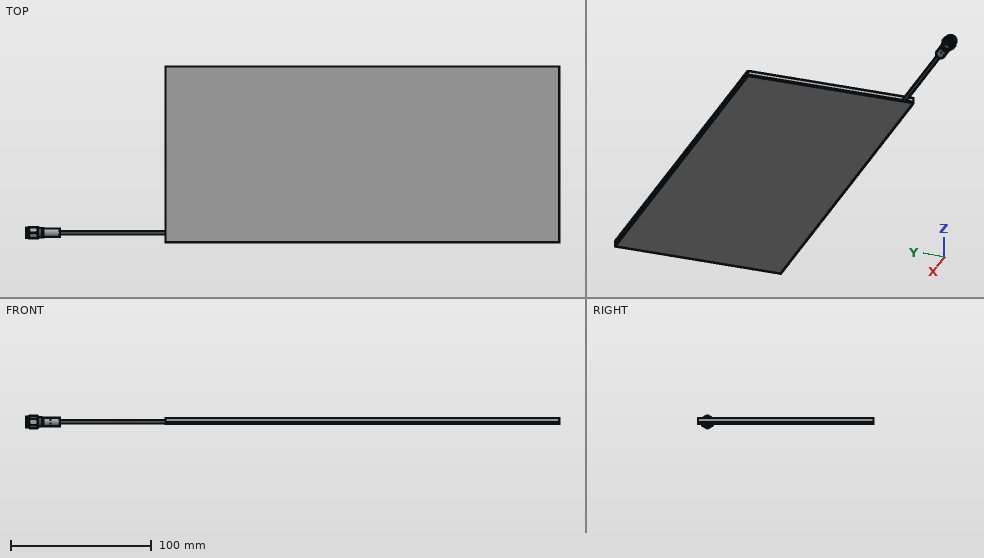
import cadquery as cq

total_length = 379.0
x_min = -total_length / 2
x_max = total_length / 2

panel_length = 280.0
panel_width = 125.0
panel_thickness = 3.0
backing_thickness = 1.0
panel_top = 2.85
panel_x_min = x_max - panel_length
panel_bottom = panel_top - panel_thickness

axis_inset = 7.0
axis_y = axis_inset - panel_width / 2

head_length = 8.7
head_across_flats = 8.0
head_corner_radius = 4.5
head_bevel_length = 1.0
head_bevel_height = 0.95
rim_radius = 3.8
rim_length = 1.5

socket_radius = 3.22
socket_depth = 8.0
insulator_radius = 2.1
insulator_front = 1.0
pin_radius = 0.8
pin_front = 0.5

neck_radius = 3.5
neck_end = 11.0
shoulder_radius = 3.3
shoulder_end = 12.0
tail_radius = 2.3
tail_end = 17.5

sleeve_radius = 3.15
sleeve_end = 24.0
cable_radius = 1.25
cable_end = panel_x_min - x_min


def rod(radius, start, end):
    """Solid cylinder on the connector axis; start and end are measured from the front face."""
    return (
        cq.Workplane("YZ", origin=(x_min + start, axis_y, 0))
        .circle(radius)
        .extrude(end - start)
    )


def make_sheet(bottom, thickness):
    """Flat rectangular sheet with the panel's outline."""
    return cq.Workplane("XY", origin=(panel_x_min, 0, bottom)).box(
        panel_length, panel_width, thickness, centered=(False, True, False)
    )


def make_hexagon():
    """Hexagon with a corner pointing up, its corners turned down and both ends bevelled."""
    hexagon = (
        cq.Workplane("YZ", origin=(x_min, axis_y, 0))
        .polygon(6, head_across_flats, circumscribed=True)
        .extrude(head_length)
    )
    end_radius = head_corner_radius - head_bevel_height
    envelope = (
        cq.Workplane("XY", origin=(x_min, axis_y, 0))
        .moveTo(rim_length, 0)
        .lineTo(rim_length, end_radius)
        .lineTo(rim_length + head_bevel_length, head_corner_radius)
        .lineTo(head_length - head_bevel_length, head_corner_radius)
        .lineTo(head_length, end_radius)
        .lineTo(head_length, 0)
        .close()
        .revolve(360, (0, 0, 0), (1, 0, 0))
    )
    return hexagon.intersect(envelope)


def make_head():
    """Hexagon and rim with the open socket, its insulator core and pin."""
    head = make_hexagon().union(rod(rim_radius, 0, rim_length))
    head = head.cut(rod(socket_radius, 0, socket_depth))
    insulator = rod(insulator_radius, insulator_front, socket_depth)
    pin = rod(pin_radius, pin_front, socket_depth)
    return head.union(insulator).union(pin)


def make_connector():
    neck = rod(neck_radius, head_length, neck_end)
    shoulder = rod(shoulder_radius, neck_end, shoulder_end)
    tail = rod(tail_radius, shoulder_end, tail_end)
    return make_head().union(neck).union(shoulder).union(tail)


def make_sleeve():
    outside = rod(sleeve_radius, shoulder_end, sleeve_end)
    tail_pocket = rod(tail_radius, shoulder_end, tail_end)
    cable_hole = rod(cable_radius, tail_end, sleeve_end)
    return outside.cut(tail_pocket).cut(cable_hole)


panel = make_sheet(panel_bottom, panel_thickness)
backing = make_sheet(panel_bottom - backing_thickness, backing_thickness)
connector = make_connector().solids()
sleeve = make_sleeve().solids()
cable = rod(cable_radius, tail_end, cable_end)

result = cq.Compound.makeCompound(
    [panel.val(), backing.val(), connector.val(), sleeve.val(), cable.val()]
)